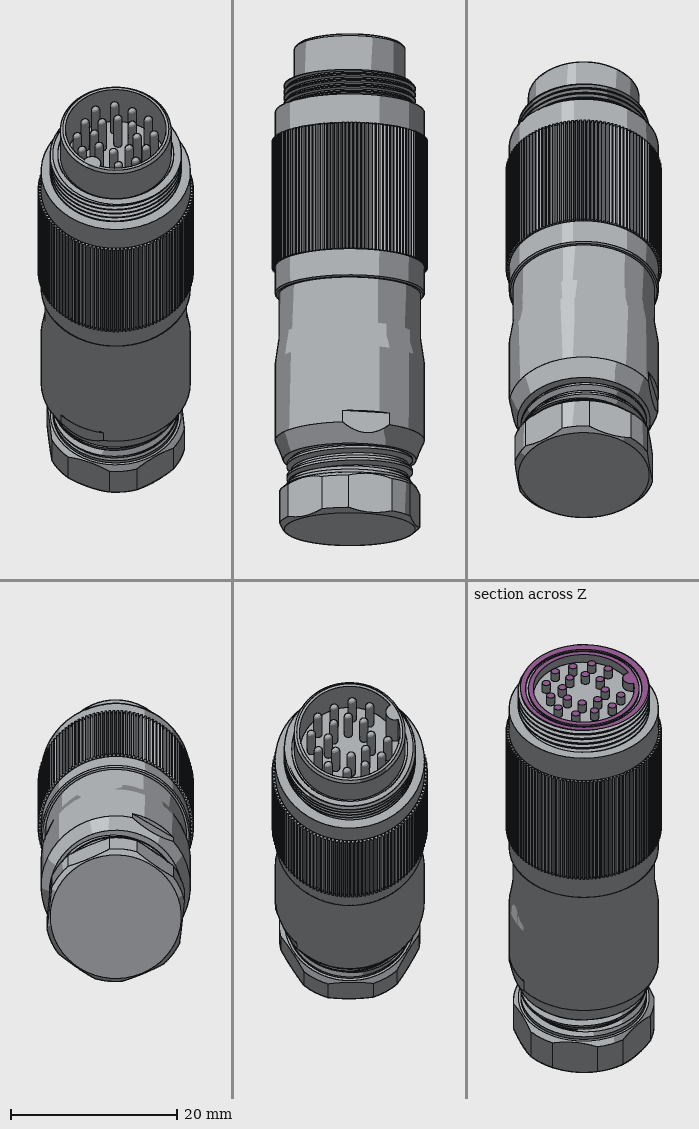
import cadquery as cq
import math


NUT_TOP = 5.1
RELIEF_BOTTOM = 5.5
RELIEF_TOP = 6.05
CONE_BOTTOM = 8.65
CONE_TOP = 11.05
FLAT_TOP = 12.5
FLARE_BOTTOM = 20.6
FLARE_TOP = 23.65
RING_BOTTOM = 29.15
KNURL_BOTTOM = 32.6
KNURL_TOP = 48.25
COLLAR_TOP = 51.85
FRONT_THREAD_TOP = 55.2
TOTAL_LENGTH = 60.0

BODY_D = 18.0
NECK_D = 17.1
CONE_END_D = 16.0
RING_CHAMFER = 0.2

NUT_SIDES = 6
NUT_ACROSS_FLATS = 16.1
NUT_CORNER_D = 17.0
NUT_CHAMFER_RADIAL = 0.6
NUT_CHAMFER_HEIGHT = 0.55
NUT_TURN = 34.5

REAR_THREAD_D = 15.2
REAR_ROOT_D = 14.1
REAR_PITCH = 1.5
REAR_START_ANGLE = 260
FRONT_THREAD_D = 15.85
FRONT_ROOT_D = 15.2
FRONT_TURNS = 4.5
FRONT_PITCH = (FRONT_THREAD_TOP - COLLAR_TOP) / FRONT_TURNS
FRONT_START_ANGLE = 190
CREST_TO_PITCH = 0.2
ROOT_TO_PITCH = 0.88
RIDGE_OVERLAP = 0.05

FLAT_SPACING = 17.05

KNURL_TIP_D = 18.7
KNURL_ROOT_D = 18.0
KNURL_TEETH = 120
KNURL_TIP_WIDTH = 0.2

SHELL_D = 13.4
SHELL_CHAMFER = 0.3
SHELL_BORE_D = 12.1
INSERT_FACE = 53.9
SHELL_GAP_D = 14.0
SHELL_GAP_DEPTH = 0.3
KEY_R = 1.1
KEY_CENTER = SHELL_BORE_D / 2

PIN_D = 1.0
PIN_TIP = 59.15
INNER_PIN_COUNT = 8
INNER_PIN_R = 2.6
OUTER_PIN_R = 4.6
NEAR_PIN_R = 4.2
OUTER_PIN_PAIRS = [
    (30, OUTER_PIN_R),
    (60, OUTER_PIN_R),
    (90, NEAR_PIN_R),
    (120, OUTER_PIN_R),
    (147.5, OUTER_PIN_R),
]


def cylinder(diameter, bottom, top):
    return cq.Workplane("XY").workplane(offset=bottom).circle(diameter / 2).extrude(top - bottom)


def make_body():
    """Turned core, solid throughout; the threads, grip and nut are added around it."""
    shell_top_r = SHELL_D / 2 - SHELL_CHAMFER
    profile = [
        (0, 0),
        (REAR_THREAD_D / 2, 0),
        (REAR_THREAD_D / 2, RELIEF_BOTTOM),
        (REAR_ROOT_D / 2, RELIEF_TOP),
        (REAR_ROOT_D / 2, CONE_BOTTOM),
        (CONE_END_D / 2, CONE_BOTTOM),
        (BODY_D / 2, CONE_TOP),
        (BODY_D / 2, FLARE_BOTTOM),
        (NECK_D / 2, FLARE_TOP),
        (NECK_D / 2, RING_BOTTOM),
        (BODY_D / 2 - RING_CHAMFER, RING_BOTTOM),
        (BODY_D / 2, RING_BOTTOM + RING_CHAMFER),
        (BODY_D / 2, COLLAR_TOP),
        (SHELL_D / 2, COLLAR_TOP),
        (SHELL_D / 2, TOTAL_LENGTH - SHELL_CHAMFER),
        (shell_top_r, TOTAL_LENGTH),
        (0, TOTAL_LENGTH),
    ]
    return cq.Workplane("XZ").polyline(profile).close().revolve(360, (0, 0), (0, 1))


def cut_wrench_flats(body):
    """Two flats facing -Y and +Y, running down into the rear cone."""
    slab_depth = BODY_D - FLAT_SPACING
    for side in (-1, 1):
        slab = cq.Workplane("XY").box(BODY_D, slab_depth, FLAT_TOP, centered=(True, True, False))
        body = body.cut(slab.translate((0, side * (FLAT_SPACING + slab_depth) / 2, 0)))
    return body


def make_nut():
    """Hexagon with rounded corners, chamfered at both ends."""
    corner_r = NUT_CORNER_D / 2
    end_r = corner_r - NUT_CHAMFER_RADIAL
    profile = [
        (0, 0),
        (end_r, 0),
        (corner_r, NUT_CHAMFER_HEIGHT),
        (corner_r, NUT_TOP - NUT_CHAMFER_HEIGHT),
        (end_r, NUT_TOP),
        (0, NUT_TOP),
    ]
    blank = cq.Workplane("XZ").polyline(profile).close().revolve(360, (0, 0), (0, 1))
    hexagon = cq.Workplane("XY").polygon(NUT_SIDES, NUT_ACROSS_FLATS, circumscribed=True)
    hexagon = hexagon.extrude(NUT_TOP)
    return blank.intersect(hexagon.rotate((0, 0, 0), (0, 0, 1), NUT_TURN))


def make_thread(outer_d, root_d, pitch, bottom, top, start_angle):
    """Right-handed threaded length: a ridge wound on a core, trimmed flat at both ends."""
    outer_r = outer_d / 2
    inner_r = root_d / 2 - RIDGE_OVERLAP
    half_root = pitch * ROOT_TO_PITCH / 2
    half_crest = pitch * CREST_TO_PITCH / 2
    ridge_profile = [
        (inner_r, -half_root),
        (outer_r, -half_crest),
        (outer_r, half_crest),
        (inner_r, half_root),
    ]
    ridge_bottom = bottom - pitch
    ridge_top = top + pitch
    helix = cq.Wire.makeHelix(pitch, ridge_top - ridge_bottom, inner_r)
    ridge = (
        cq.Workplane("XZ")
        .polyline(ridge_profile)
        .close()
        .sweep(cq.Workplane(helix), isFrenet=True)
        .rotate((0, 0, 0), (0, 0, 1), start_angle)
        .translate((0, 0, ridge_bottom))
    )
    core = cylinder(root_d, ridge_bottom - pitch, ridge_top + pitch)
    return core.union(ridge).intersect(cylinder(outer_d + pitch, bottom, top))


def make_grip():
    """Cylinder of straight knurl teeth with narrow flat tips and V-shaped valleys."""
    step = 2 * math.pi / KNURL_TEETH
    half_tip = KNURL_TIP_WIDTH / KNURL_TIP_D
    outline = []
    for tooth in range(KNURL_TEETH):
        middle = tooth * step
        corners = (
            (middle - half_tip, KNURL_TIP_D),
            (middle + half_tip, KNURL_TIP_D),
            (middle + step / 2, KNURL_ROOT_D),
        )
        for angle, diameter in corners:
            outline.append((diameter / 2 * math.cos(angle), diameter / 2 * math.sin(angle)))
    grip = cq.Workplane("XY").workplane(offset=KNURL_BOTTOM).polyline(outline).close()
    return grip.extrude(KNURL_TOP - KNURL_BOTTOM)


def pin_positions():
    """Centres of the pins: an outer ring with a gap at the key, and an even inner ring."""
    polar = [(0, NEAR_PIN_R)]
    for angle, radius in OUTER_PIN_PAIRS:
        polar += [(angle, radius), (-angle, radius)]
    inner_step = 360 / INNER_PIN_COUNT
    polar += [((i + 0.5) * inner_step, INNER_PIN_R) for i in range(INNER_PIN_COUNT)]
    return [(r * math.sin(math.radians(a)), r * math.cos(math.radians(a))) for a, r in polar]


def make_pins():
    """Round pins with hemispherical tips, sunk slightly into the insert."""
    pin_r = PIN_D / 2
    bottom = INSERT_FACE - PIN_D
    pin = cylinder(PIN_D, bottom, PIN_TIP - pin_r)
    pin = pin.union(cq.Workplane("XY").sphere(pin_r).translate((0, 0, PIN_TIP - pin_r)))
    return [pin.translate((x, y, 0)) for x, y in pin_positions()]


def make_key():
    """Half-round rib inside the shell on the -Y side."""
    post = cylinder(2 * KEY_R, INSERT_FACE, TOTAL_LENGTH).translate((0, -KEY_CENTER, 0))
    return post.intersect(cylinder((SHELL_BORE_D + SHELL_D) / 2, INSERT_FACE, TOTAL_LENGTH))


result = cut_wrench_flats(make_body())
result = result.union(make_nut())
result = result.union(
    make_thread(REAR_THREAD_D, REAR_ROOT_D, REAR_PITCH, RELIEF_TOP, CONE_BOTTOM, REAR_START_ANGLE)
)
front_thread = make_thread(
    FRONT_THREAD_D, FRONT_ROOT_D, FRONT_PITCH, COLLAR_TOP, FRONT_THREAD_TOP, FRONT_START_ANGLE
)
shell_gap = cylinder(SHELL_GAP_D, FRONT_THREAD_TOP - SHELL_GAP_DEPTH, FRONT_THREAD_TOP)
result = result.union(front_thread.cut(shell_gap))
result = result.union(make_grip())

result = result.cut(cylinder(SHELL_BORE_D, INSERT_FACE, TOTAL_LENGTH))
result = result.union(make_key())
for contact in make_pins():
    result = result.union(contact)